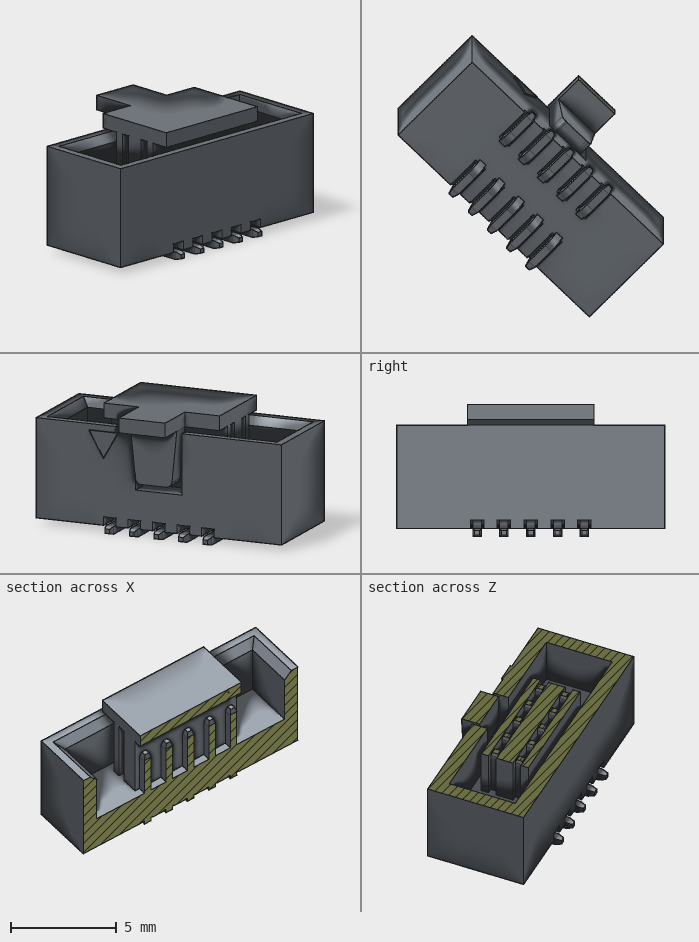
import cadquery as cq
import math


shroud_x = 5.0
shroud_y = 12.7
shroud_z = 4.9
rim_width = 0.4
lead_in = 0.4
floor_z = 1.9
key_width = 2.4
key_bottom_z = floor_z

mark_y = 2.84
mark_width = 1.5
mark_top_z = 4.6
mark_bottom_z = 3.3
mark_height = 0.08

pins_per_row = 5
pitch = 1.27
pin_width = 0.4
foot_thickness = 0.38
foot_end_x = 2.5
tip_length = 0.3
tip_inset = 0.08
bend_start_x = 1.4
bend_outer_radius = 0.95
contact_shoulder_z = 4.05

notch_width = 0.64
notch_top_z = 0.42
notch_chamfer = 0.19

cap_x = 4.3
cap_y = 6.0
cap_thickness = 0.72
cap_gap = 0.26
tab_end_x = -4.45
leg_outer_x = -3.1
leg_bottom_z = 2.37
leg_bottom_width = 1.84
leg_corner_radius = 0.3
outer_rib_width = 0.4

pocket_x = shroud_x - 2 * (rim_width + lead_in)
pocket_y = shroud_y - 2 * (rim_width + lead_in)
row_x = pitch / 2
bend_inner_radius = notch_top_z
inner_bend_z = bend_inner_radius
outer_bend_z = bend_outer_radius - foot_thickness
stem_outer_x = bend_start_x - bend_inner_radius
stem_inner_x = bend_start_x - bend_outer_radius
cap_bottom_z = shroud_z + cap_gap
cap_edge_x = cap_x / 2


def box(x_min, x_max, width_y, z_min, z_max, center_y=0):
    """Box given by its X and Z limits and centred on a Y position."""
    return (
        cq.Workplane("XY", origin=((x_min + x_max) / 2, center_y, z_min))
        .rect(x_max - x_min, width_y)
        .extrude(z_max - z_min)
    )


def tapered_tip(base_plane, size_x, size_y):
    """Pyramid-like pin tip standing on the given plane."""
    return (
        cq.Workplane(base_plane)
        .rect(size_x, size_y)
        .workplane(offset=tip_length)
        .rect(size_x - 2 * tip_inset, size_y - 2 * tip_inset)
        .loft(ruled=True)
    )


def make_shroud():
    block = box(-shroud_x / 2, shroud_x / 2, shroud_y, 0, shroud_z)
    pocket = box(-pocket_x / 2, pocket_x / 2, pocket_y, floor_z, shroud_z)
    mouth = (
        cq.Workplane("XY", origin=(0, 0, shroud_z - lead_in))
        .rect(pocket_x, pocket_y)
        .workplane(offset=lead_in)
        .rect(pocket_x + 2 * lead_in, pocket_y + 2 * lead_in)
        .loft(ruled=True)
    )
    key_slot = box(-shroud_x / 2, -pocket_x / 2, key_width, key_bottom_z, shroud_z)
    return block.cut(pocket).cut(mouth).cut(key_slot)


def make_pin_one_mark():
    return (
        cq.Workplane("YZ", origin=(-shroud_x / 2, 0, 0))
        .moveTo(mark_y - mark_width / 2, mark_top_z)
        .lineTo(mark_y + mark_width / 2, mark_top_z)
        .lineTo(mark_y, mark_bottom_z)
        .close()
        .extrude(-mark_height)
    )


def make_notch(y):
    """Notch of the +X row: open to the side wall and the underside."""
    return (
        cq.Workplane("XZ", origin=(0, y + notch_width / 2, 0))
        .moveTo(shroud_x / 2, 0)
        .lineTo(shroud_x / 2, notch_top_z)
        .lineTo(stem_outer_x, notch_top_z)
        .lineTo(stem_outer_x, notch_chamfer)
        .lineTo(stem_outer_x - notch_chamfer, 0)
        .close()
        .extrude(notch_width)
    )


def make_pin(y):
    """Pin of the +X row: foot with tapered tip, bend, stem and upright contact."""
    diagonal = math.sqrt(0.5)
    foot = (
        cq.Workplane("XZ", origin=(0, y + pin_width / 2, 0))
        .moveTo(foot_end_x, -foot_thickness)
        .lineTo(bend_start_x, -foot_thickness)
        .threePointArc(
            (bend_start_x - bend_outer_radius * diagonal, outer_bend_z - bend_outer_radius * diagonal),
            (stem_inner_x, outer_bend_z),
        )
        .lineTo(stem_inner_x, floor_z)
        .lineTo(stem_outer_x, floor_z)
        .lineTo(stem_outer_x, inner_bend_z)
        .threePointArc(
            (bend_start_x - bend_inner_radius * diagonal, inner_bend_z - bend_inner_radius * diagonal),
            (bend_start_x, 0),
        )
        .lineTo(foot_end_x, 0)
        .close()
        .extrude(pin_width)
    )
    foot_end = cq.Plane(origin=(foot_end_x, y, -foot_thickness / 2), xDir=(0, 1, 0), normal=(1, 0, 0))
    foot_tip = tapered_tip(foot_end, pin_width, foot_thickness)
    contact = box(row_x - pin_width / 2, row_x + pin_width / 2, pin_width, floor_z, contact_shoulder_z, y)
    contact_top = cq.Plane(origin=(row_x, y, contact_shoulder_z))
    contact_tip = tapered_tip(contact_top, pin_width, pin_width)
    return foot.union(foot_tip).union(contact).union(contact_tip)


def make_cap():
    """T-shaped plate on three ribs that grip the two contact rows."""
    cap_top_z = cap_bottom_z + cap_thickness
    cap = box(-cap_edge_x, cap_edge_x, cap_y, cap_bottom_z, cap_top_z)
    cap = cap.union(box(tab_end_x, -cap_edge_x, key_width, cap_bottom_z, cap_top_z))

    gap_inner_x = row_x - pin_width / 2
    gap_outer_x = row_x + pin_width / 2
    rib_end_x = gap_outer_x + outer_rib_width
    rib_limits = [
        (-rib_end_x, -gap_outer_x),
        (-gap_inner_x, gap_inner_x),
        (gap_outer_x, rib_end_x),
    ]
    for x_min, x_max in rib_limits:
        cap = cap.union(box(x_min, x_max, cap_y, floor_z, cap_bottom_z))
    return cap.union(make_key_leg())


def make_key_leg():
    """Tapered leg under the cap tab that reaches down into the key slot."""
    return (
        cq.Workplane("YZ", origin=(leg_outer_x, 0, 0))
        .moveTo(-key_width / 2, cap_bottom_z)
        .lineTo(-leg_bottom_width / 2, leg_bottom_z)
        .lineTo(leg_bottom_width / 2, leg_bottom_z)
        .lineTo(key_width / 2, cap_bottom_z)
        .close()
        .extrude(-cap_edge_x - leg_outer_x)
        .edges("|X and <Z")
        .fillet(leg_corner_radius)
    )


result = make_shroud().union(make_pin_one_mark()).union(make_cap())
for index in range(pins_per_row):
    pin_y = (index - (pins_per_row - 1) / 2) * pitch
    notch = make_notch(pin_y)
    pin = make_pin(pin_y)
    result = result.cut(notch).cut(notch.mirror("YZ"))
    result = result.union(pin).union(pin.mirror("YZ"))